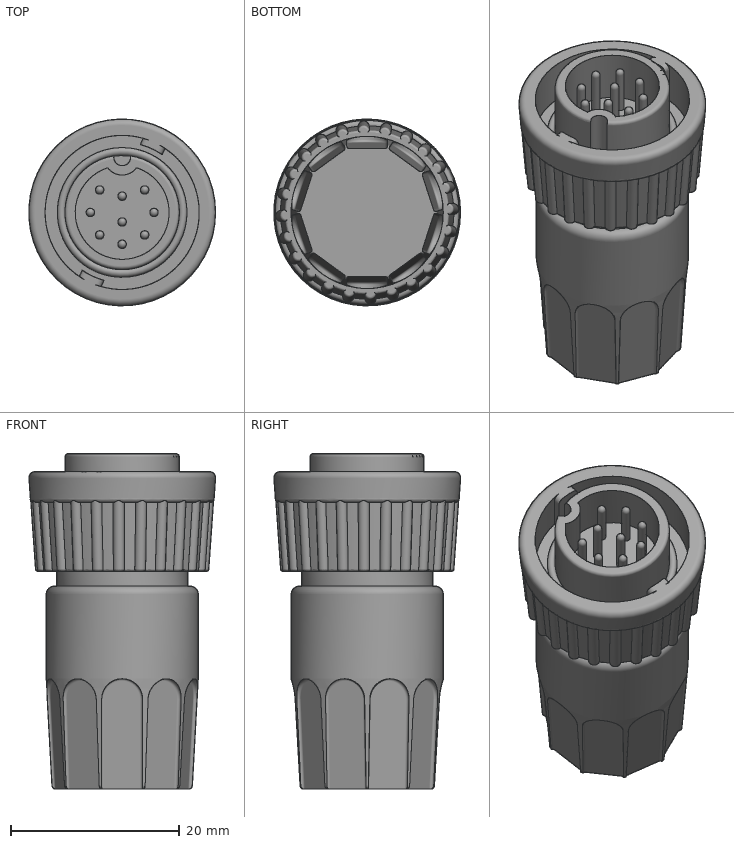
import cadquery as cq
import math

GRIP_TOP = 13.15
BODY_TOP = 24.15
SHELL_BOTTOM = 25.9
BAND_BOTTOM = 34.05
SHELL_TOP = 37.75
INSERT_TOP = 39.88
CAVITY_FLOOR = 32.25
INSERT_FLOOR = 33.25

BODY_RADIUS = 9.05
BODY_TOP_FILLET = 1.0
GRIP_BOTTOM_RADIUS = 8.33
GRIP_BOTTOM_FILLET = 0.5
NECK_RADIUS = 7.81

FLAT_COUNT = 10
FLAT_HALF_WIDTH = 2.43
FLAT_BOTTOM_DISTANCE = 7.6
FLAT_CORNER_FILLET = 0.3

SHELL_RADIUS = 11.11
SHELL_TAPER = math.radians(4)
SHELL_TOP_FILLET = 0.75
SHELL_BOTTOM_FILLET = 0.25
SHELL_BORE_RADIUS = 9.16
RIB_COUNT = 24
RIB_RADIUS = 0.67
RIB_HEIGHT = 0.6
RIB_SETBACK = 0.04
RIB_PHASE = -2.3
BAND_BOTTOM_FILLET = 0.5

LUG_COUNT = 2
LUG_ANGLE = 65.2
LUG_HALF_WIDTH = 1.43
LUG_INNER_RADIUS = 8.35
LUG_FILLET = 0.68

INSERT_RADIUS = 6.8
INSERT_BORE_RADIUS = 5.58
INSERT_TOP_FILLET = 0.4
KEY_CENTER_Y = 6.56
KEY_GROOVE_RADIUS = 1.0
KEY_WALL_RADIUS = 2.12
SEAL_RADIUS = 0.48
SEAL_SQUEEZE = 0.05
SEAL_CENTER_RADIUS = INSERT_RADIUS + SEAL_RADIUS - SEAL_SQUEEZE

PIN_RADIUS = 0.5
PIN_TIP = 39.25
PIN_CIRCLE_RADIUS = 3.78
PIN_ANGLES = [0, 45, 135, 180, 225, 270, 315]
INNER_PIN_YS = [1.93, -1.13]


def cylinder(radius, bottom, top):
    """Upright cylinder on the Z axis between two heights."""
    return cq.Workplane("XY").workplane(offset=bottom).circle(radius).extrude(top - bottom)


def revolve(points):
    """Solid of revolution about Z of an outline given as (radius, height) points."""
    return cq.Workplane("XZ").polyline(points).close().revolve(360, (0, 0), (0, 1))


def around_axis(feature, count, start_angle):
    """Evenly spaced copies of a feature turned about the Z axis."""
    angles = [start_angle + index * 360 / count for index in range(count)]
    return [feature.rotate((0, 0, 0), (0, 0, 1), angle).val() for angle in angles]


def make_flat_cutter():
    """Round-topped slot leaning with the grip taper, facing -Y and open at the bottom."""
    taper = math.atan2(BODY_RADIUS - GRIP_BOTTOM_RADIUS, GRIP_TOP)
    reach = 3.0
    overrun = 2.0
    arch_center = GRIP_TOP / math.cos(taper) - FLAT_HALF_WIDTH
    plane = cq.Plane(
        origin=(0, -FLAT_BOTTOM_DISTANCE, 0),
        xDir=(1, 0, 0),
        normal=(0, -math.cos(taper), -math.sin(taper)),
    )
    return (
        cq.Workplane(plane)
        .moveTo(-FLAT_HALF_WIDTH, -overrun)
        .lineTo(FLAT_HALF_WIDTH, -overrun)
        .lineTo(FLAT_HALF_WIDTH, arch_center)
        .threePointArc((0, arch_center + FLAT_HALF_WIDTH), (-FLAT_HALF_WIDTH, arch_center))
        .close()
        .extrude(reach)
        .faces(">Y")
        .edges()
        .fillet(FLAT_CORNER_FILLET)
    )


def make_body():
    """Cable-side body with a tapered, ten-sided grip and a neck on top."""
    grip = revolve([(0, 0), (GRIP_BOTTOM_RADIUS, 0), (BODY_RADIUS, GRIP_TOP), (0, GRIP_TOP)])
    grip = grip.faces("<Z").edges().fillet(GRIP_BOTTOM_FILLET)
    flats = around_axis(make_flat_cutter(), FLAT_COUNT, 0)
    grip = cq.Workplane(grip.val().cut(*flats))
    barrel = cylinder(BODY_RADIUS, GRIP_TOP, BODY_TOP).faces(">Z").edges().fillet(BODY_TOP_FILLET)
    return grip.union(barrel).union(cylinder(NECK_RADIUS, BODY_TOP, CAVITY_FLOOR))


def shell_radius_at(height):
    """Outer radius of the tapered shell; the full radius is at the lower edge of the top fillet."""
    return SHELL_RADIUS - (SHELL_TOP - SHELL_TOP_FILLET - height) * math.tan(SHELL_TAPER)


def make_shell_envelope():
    """Tapered outer form of the shell with its top edge rounded."""
    return (
        revolve(
            [
                (0, SHELL_BOTTOM),
                (shell_radius_at(SHELL_BOTTOM), SHELL_BOTTOM),
                (shell_radius_at(SHELL_TOP), SHELL_TOP),
                (0, SHELL_TOP),
            ]
        )
        .faces(">Z").edges().fillet(SHELL_TOP_FILLET)
    )


def make_rib():
    """Round rib on the +X side, leaning with the shell taper and set just inside its outer surface."""
    overrun = 1.0
    start = SHELL_BOTTOM - overrun
    length = (BAND_BOTTOM + BAND_BOTTOM_FILLET - start) / math.cos(SHELL_TAPER)
    axis_radius = shell_radius_at(start) - RIB_SETBACK - RIB_RADIUS / math.cos(SHELL_TAPER)
    direction = cq.Vector(math.sin(SHELL_TAPER), 0, math.cos(SHELL_TAPER))
    return cq.Workplane(
        cq.Solid.makeCylinder(RIB_RADIUS, length, cq.Vector(axis_radius, 0, start), direction)
    )


def make_lug():
    """Bayonet lug on the +X side of the bore, with its two upper side edges rounded."""
    outer = (SHELL_BORE_RADIUS + SHELL_RADIUS) / 2
    bar = (
        cq.Workplane("XY")
        .box(outer, 2 * LUG_HALF_WIDTH, SHELL_TOP - CAVITY_FLOOR, centered=(False, True, False))
        .translate((0, 0, CAVITY_FLOOR))
        .edges("|X and >Z")
        .fillet(LUG_FILLET)
    )
    ring = cylinder(SHELL_BORE_RADIUS, CAVITY_FLOOR, SHELL_TOP).cut(
        cylinder(LUG_INNER_RADIUS, CAVITY_FLOOR, SHELL_TOP)
    )
    return bar.intersect(ring)


def make_shell():
    """Ribbed coupling shell with a plain band at the top, an open cavity and bayonet lugs."""
    band_floor = cylinder(SHELL_RADIUS, SHELL_BOTTOM, BAND_BOTTOM)
    band = make_shell_envelope().cut(band_floor).faces("<Z").edges().fillet(BAND_BOTTOM_FILLET)
    core = revolve(
        [
            (0, SHELL_BOTTOM),
            (shell_radius_at(SHELL_BOTTOM) - RIB_HEIGHT, SHELL_BOTTOM),
            (shell_radius_at(BAND_BOTTOM) - RIB_HEIGHT, BAND_BOTTOM),
            (0, BAND_BOTTOM),
        ]
    ).union(band)
    ribs = around_axis(make_rib(), RIB_COUNT, RIB_PHASE)
    core = cq.Workplane(core.val().fuse(*ribs))
    shell = core.intersect(make_shell_envelope())
    shell = shell.faces("<Z").edges().fillet(SHELL_BOTTOM_FILLET)
    shell = shell.cut(cylinder(SHELL_BORE_RADIUS, CAVITY_FLOOR, SHELL_TOP))
    lugs = around_axis(make_lug(), LUG_COUNT, LUG_ANGLE)
    return cq.Workplane(shell.val().fuse(*lugs).clean())


def make_insert():
    """Cup-shaped pin insert with a key groove outside and the matching bulge inside its bore."""
    key_groove = cylinder(KEY_GROOVE_RADIUS, CAVITY_FLOOR, INSERT_TOP).translate((0, KEY_CENTER_Y, 0))
    key_wall = cylinder(KEY_WALL_RADIUS, INSERT_FLOOR, INSERT_TOP).translate((0, KEY_CENTER_Y, 0))
    bore = cylinder(INSERT_BORE_RADIUS, INSERT_FLOOR, INSERT_TOP).cut(key_wall)
    return (
        cylinder(INSERT_RADIUS, CAVITY_FLOOR, INSERT_TOP)
        .faces(">Z").edges().fillet(INSERT_TOP_FILLET)
        .cut(bore)
        .cut(key_groove)
    )


def make_seal():
    """Round sealing ring around the foot of the insert, pressed lightly against it and the cavity floor."""
    center = cq.Vector(0, 0, CAVITY_FLOOR + SEAL_RADIUS - SEAL_SQUEEZE)
    return cq.Workplane(cq.Solid.makeTorus(SEAL_CENTER_RADIUS, SEAL_RADIUS, center))


def make_pin(x, y):
    """Contact pin with a hemispherical tip."""
    pin = cylinder(PIN_RADIUS, INSERT_FLOOR, PIN_TIP - PIN_RADIUS)
    tip = cq.Workplane("XY").sphere(PIN_RADIUS).translate((0, 0, PIN_TIP - PIN_RADIUS))
    return pin.union(tip).translate((x, y, 0))


def pin_positions():
    """Places of the pins on the pin circle and of the two pins inside it."""
    circle = [
        (PIN_CIRCLE_RADIUS * math.cos(math.radians(a)), PIN_CIRCLE_RADIUS * math.sin(math.radians(a)))
        for a in PIN_ANGLES
    ]
    return circle + [(0, y) for y in INNER_PIN_YS]


result = make_body().union(make_shell()).union(make_insert()).union(make_seal())
pins = [make_pin(x, y).val() for x, y in pin_positions()]
result = cq.Workplane(result.val().fuse(*pins).clean()).solids()